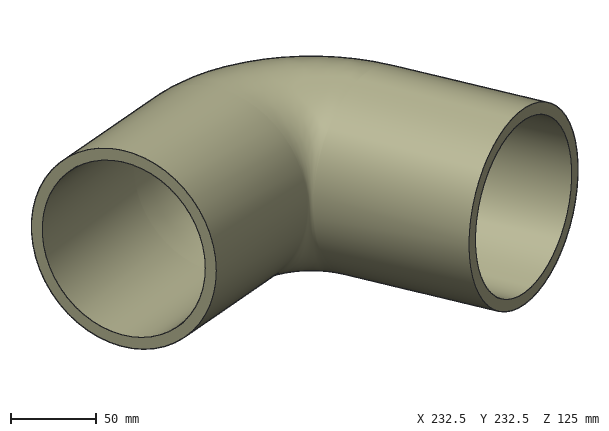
import cadquery as cq
import math

overall_length = 232.5
outer_diameter = 125.0
bore_diameter = 110.2
spigot_length = 105.0

bend_radius = overall_length - spigot_length - outer_diameter / 2

diagonal = bend_radius * math.cos(math.radians(45))
bend_start = (0, spigot_length)
bend_middle = (bend_radius - diagonal, spigot_length + diagonal)
bend_end = (bend_radius, spigot_length + bend_radius)
centreline = (
    cq.Workplane("XY")
    .lineTo(*bend_start)
    .threePointArc(bend_middle, bend_end)
    .lineTo(bend_radius + spigot_length, bend_end[1])
)

result = (
    cq.Workplane("XZ")
    .circle(outer_diameter / 2)
    .circle(bore_diameter / 2)
    .sweep(centreline)
)